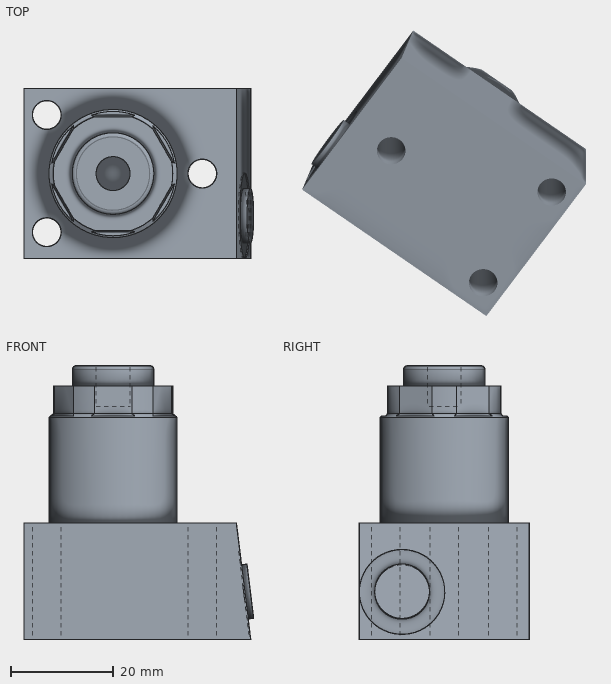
import cadquery as cq
import math

block_length = 44.4
block_width = 33.35
block_height = 22.85
face_tilt = 7.0

hole_diameter = 5.6
hole_places = [(4.5, -11.45), (4.5, 11.45), (34.95, 0)]

tower_x = 17.45
body_radius = 12.55
body_top = 43.45
nut_radius = 11.7
nut_bottom = 44.2
nut_top = 49.6
cap_radius = 8.0
cap_fillet = 0.8
total_height = 53.6
bore_radius = 3.3
bore_depth = 8.05

flat_count = 6
flat_distance = 11.1
flat_flare = 0.3
ledge_height = 43.8

plug_y = -8.25
plug_height = 9.3
plug_radius = 5.35
plug_projection = 1.05
recess_radius = 8.35
recess_depth = 0.25


def make_block():
    setback = block_height * math.tan(math.radians(face_tilt))
    block = (
        cq.Workplane("XZ")
        .polyline([
            (0, 0),
            (block_length, 0),
            (block_length - setback, block_height),
            (0, block_height),
        ])
        .close()
        .extrude(block_width / 2, both=True)
    )
    holes = (
        cq.Workplane("XY")
        .pushPoints(hole_places)
        .circle(hole_diameter / 2)
        .extrude(block_height)
    )
    return block.cut(holes)


def add_plug(block):
    tilt = math.radians(face_tilt)
    center = cq.Vector(block_length - plug_height * math.tan(tilt), plug_y, plug_height)
    outward = cq.Vector(math.cos(tilt), 0, math.sin(tilt))
    recess_floor = center - outward * recess_depth
    recess = cq.Solid.makeCylinder(recess_radius, recess_depth, recess_floor, outward)
    plug = cq.Solid.makeCylinder(
        plug_radius, recess_depth + plug_projection, recess_floor, outward
    )
    return block.cut(cq.Workplane(recess)).union(cq.Workplane(plug))


def cut_flats(tower):
    outside = 2 * body_radius
    cutter = (
        cq.Workplane("XZ")
        .polyline([
            (flat_distance, nut_top),
            (flat_distance, nut_bottom),
            (flat_distance + flat_flare, ledge_height),
            (outside, ledge_height),
            (outside, nut_top),
        ])
        .close()
        .extrude(body_radius, both=True)
    )
    step = 360 / flat_count
    for index in range(flat_count):
        angle = 90 + index * step
        tower = tower.cut(cutter.rotate((0, 0, 0), (0, 0, 1), angle))
    return tower


def make_tower():
    tower = (
        cq.Workplane("XZ")
        .polyline([
            (0, block_height),
            (body_radius, block_height),
            (body_radius, body_top),
            (nut_radius, nut_bottom),
            (nut_radius, nut_top),
            (0, nut_top),
        ])
        .close()
        .revolve(360, (0, 0, 0), (0, 1, 0))
    )
    cap = (
        cq.Workplane("XY", origin=(0, 0, nut_top))
        .circle(cap_radius)
        .extrude(total_height - nut_top)
        .faces(">Z")
        .edges()
        .fillet(cap_fillet)
    )
    bore = (
        cq.Workplane("XY", origin=(0, 0, total_height - bore_depth))
        .circle(bore_radius)
        .extrude(bore_depth)
    )
    tower = cut_flats(tower).union(cap).cut(bore)
    return tower.translate((tower_x, 0, 0))


result = add_plug(make_block()).union(make_tower())